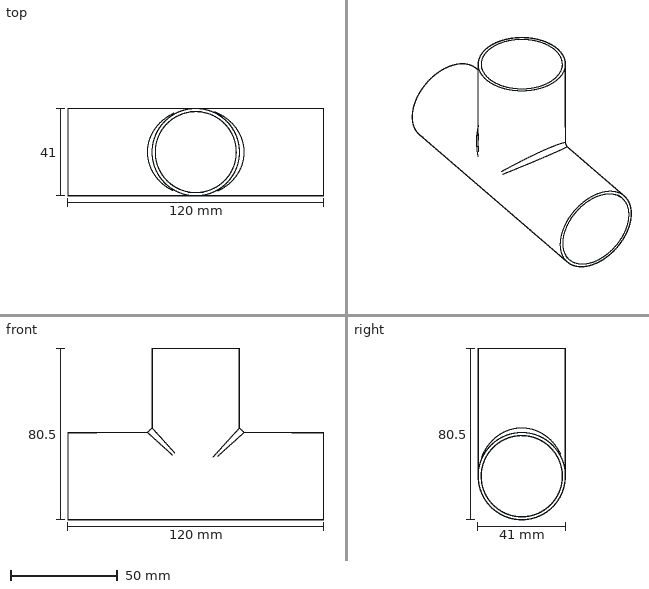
import cadquery as cq
import math

run_length = 120.0
branch_height = run_length / 2
outer_diameter = 41.0
bore_diameter = 38.0
outer_radius = outer_diameter / 2

weld_leg = 2.2
weld_reach = outer_radius + weld_leg


def run_cylinder(diameter):
    return cq.Workplane("YZ").circle(diameter / 2).extrude(run_length / 2, both=True)


def branch_cylinder(diameter):
    return cq.Workplane("XY").circle(diameter / 2).extrude(branch_height)


def weld_seam(side):
    """Sloping weld face at 45 degrees, on the +X (side=1) or -X (side=-1) corner."""
    slope_start = (-side * run_length, 0, run_length)
    slope_length = 2 * run_length * math.sqrt(2)
    slope_plane = cq.Plane(origin=slope_start, xDir=(0, 1, 0), normal=(side, 0, -1))
    crown_height = (outer_radius + weld_reach) / math.sqrt(2)
    face_body = cq.Workplane(slope_plane).ellipse(outer_radius, crown_height).extrude(slope_length)

    overshoot = 1.5
    near = side * outer_radius * overshoot
    far = side * weld_reach * overshoot
    wedge = (
        cq.Workplane("XZ")
        .polyline([(0, 0), (near, weld_reach * overshoot), (far, outer_radius * overshoot)])
        .close()
        .extrude(outer_diameter, both=True)
    )
    return face_body.intersect(wedge)


body = run_cylinder(outer_diameter).union(branch_cylinder(outer_diameter))
for side in (1, -1):
    body = body.union(weld_seam(side))

result = body.cut(run_cylinder(bore_diameter)).cut(branch_cylinder(bore_diameter))